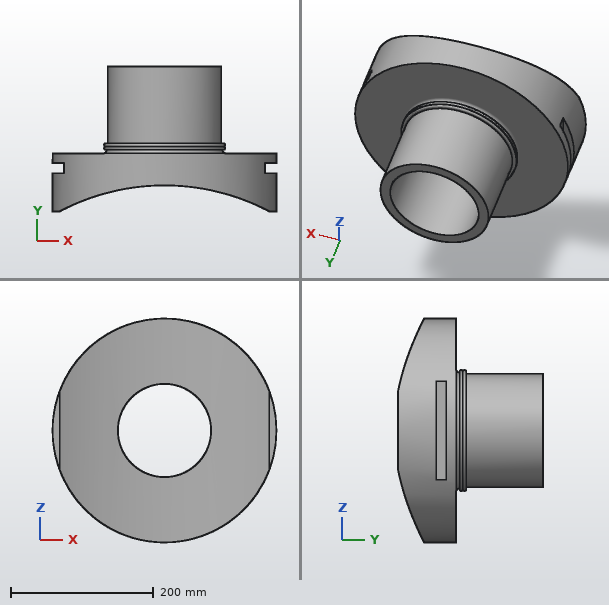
import cadquery as cq
import math

flange_diameter = 315.0
flange_thickness = 81.8
overall_length = 204.0

pipe_diameter = 160.0
bore_diameter = 130.8

saddle_radius = 315.0
land_half_spacing = 147.5

slot_length = 138.7
slot_width = 14.0
slot_back_wall = 13.6

bead_crest_radius = 85.2
bead_shoulder_radius = 83.3
bead_width = 4.75
bead_count = 2
neck_radius = 81.8
neck_fillet = 4.75

flange_radius = flange_diameter / 2
pipe_radius = pipe_diameter / 2
foot_radius = (pipe_radius + bore_diameter / 2) / 2
saddle_depth = saddle_radius - math.sqrt(saddle_radius**2 - land_half_spacing**2)


def cylinder_along_y(radius, start, end):
    """Solid cylinder on the Y axis between two Y positions."""
    return cq.Workplane("XZ", origin=(0, start, 0)).circle(radius).extrude(start - end)


def revolve_about_y(profile):
    """Revolve an XY profile a full turn about the Y axis."""
    return profile.revolve(360, (0, 0, 0), (0, 1, 0))


def saddle_cutter():
    """Cylinder along Z that hollows the front of the flange."""
    return (
        cq.Workplane("XY")
        .center(0, saddle_depth - saddle_radius)
        .circle(saddle_radius)
        .extrude(flange_radius, both=True)
    )


def slot_cutter(side):
    """Straight slot whose floor is a chord of the flange; side is +1 or -1 along X."""
    floor_x = math.sqrt(flange_radius**2 - (slot_length / 2) ** 2)
    depth = flange_radius - floor_x
    center_x = side * (floor_x + depth / 2)
    center_y = flange_thickness - slot_back_wall - slot_width / 2
    return cq.Workplane("XY").box(depth, slot_width, flange_diameter).translate((center_x, center_y, 0))


def make_bead(index):
    """Domed ring around the pipe, with a flat-sided foot sunk into the pipe wall."""
    start_y = flange_thickness + neck_fillet + index * bead_width
    end_y = start_y + bead_width
    profile = (
        cq.Workplane("XY")
        .moveTo(foot_radius, start_y)
        .lineTo(bead_shoulder_radius, start_y)
        .threePointArc((bead_crest_radius, start_y + bead_width / 2), (bead_shoulder_radius, end_y))
        .lineTo(foot_radius, end_y)
        .close()
    )
    return revolve_about_y(profile)


def make_neck():
    """Collar that flares into the back of the flange through a concave fillet."""
    top_y = flange_thickness + neck_fillet
    arc_offset = neck_fillet * (1 - math.sqrt(0.5))
    profile = (
        cq.Workplane("XY")
        .moveTo(foot_radius, flange_thickness)
        .lineTo(neck_radius + neck_fillet, flange_thickness)
        .threePointArc(
            (neck_radius + arc_offset, flange_thickness + arc_offset),
            (neck_radius, top_y),
        )
        .lineTo(foot_radius, top_y)
        .close()
    )
    return revolve_about_y(profile)


flange = cylinder_along_y(flange_radius, 0, flange_thickness).cut(saddle_cutter())
for side in (-1, 1):
    flange = flange.cut(slot_cutter(side))

spigot = cylinder_along_y(pipe_radius, flange_thickness, overall_length).union(make_neck())
for index in range(bead_count):
    spigot = spigot.union(make_bead(index))

result = flange.union(spigot).cut(cylinder_along_y(bore_diameter / 2, 0, overall_length))